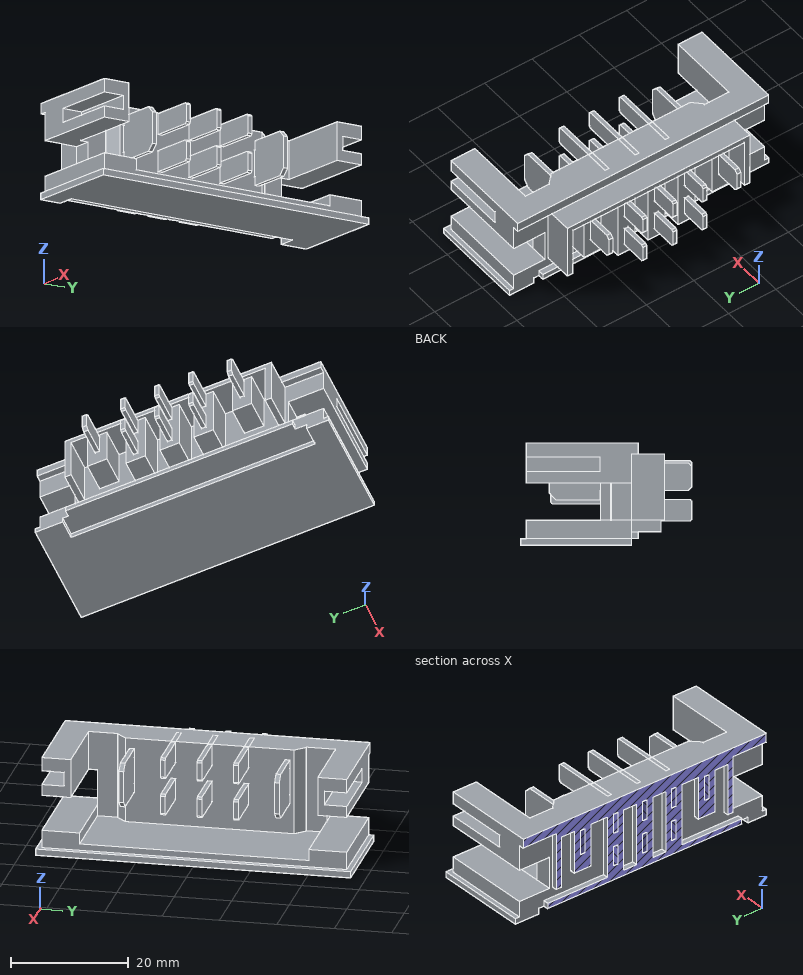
import cadquery as cq


BASE_LENGTH = 54.8
BASE_DEPTH = 18.9
BASE_THICKNESS = 1.15
BASE_NOTCH_Y = (-23.35, 22.25)

FRAME_LENGTH = 53.05
FRAME_DEPTH = 18.0
FRAME_TOP = 17.45
WALL_DEPTH = 3.45
UPPER_ARM_INNER_Y = 21.5
UPPER_ARM_BOTTOM = 10.6
LOWER_ARM_INNER_Y = 19.95
LOWER_ARM_TOP = 4.3
FLOOR_TOP = 2 * BASE_THICKNESS
SLOT_START = 5.4
SLOT_BOTTOM = 12.55
SLOT_TOP = 15.0
SLOT_SKIN = 1.15

RIB_HALF_WIDTH = 16.4
RIB_STEP = 0.15
RIB_TAPER = 1.7

LIP_DEPTH = 1.15
LOWER_LIP_LENGTH = 42.4

SHROUD_DEPTH = 5.6
SHROUD_HALF_WIDTH = 19.3
SHROUD_WALL = 1.15
SHROUD_TOP = 15.55
SUPPORT_DEPTH = 5.0
SUPPORT_WIDTH = 3.6
LARGE_SUPPORT_BOTTOM = 6.0

PIN_THICKNESS = 0.8
PIN_FRONT = -10.25
PIN_OVERLAP = 1.15
SMALL_PITCH = 6.35
SMALL_HEIGHT = 3.7
SMALL_RISE = 2.9
UPPER_BLADE_START = 0.6
LOWER_BLADE_START = UPPER_BLADE_START + 2 * PIN_OVERLAP
SMALL_BLADE_END = 13.8
SMALL_CHAMFER = 0.35
LOWER_TAIL_BOTTOM = 4.1
UPPER_TAIL_BOTTOM = 10.7
LARGE_PIN_Y = 13.55
LARGE_CENTRE_Z = 11.7
LARGE_TAIL_HEIGHT = 4.7
LARGE_TAIL_CHAMFER = 0.6
LARGE_BLADE_HEIGHT = 7.9
LARGE_BLADE_START = 5.4
LARGE_BLADE_END = 14.05
LARGE_BLADE_CHAMFER = 1.15

SMALL_PIN_YS = [-SMALL_PITCH, 0, SMALL_PITCH]
LARGE_PIN_YS = [-LARGE_PIN_Y, LARGE_PIN_Y]


def block(x_range, y_range, z_range):
    """Rectangular block between the given limits on each axis."""
    corner = (x_range[0], y_range[0], z_range[0])
    size = (x_range[1] - x_range[0], y_range[1] - y_range[0], z_range[1] - z_range[0])
    return cq.Workplane("XY").box(*size, centered=False).translate(corner)


def centred(width, y=0):
    """Y limits of a width centred on y."""
    return (y - width / 2, y + width / 2)


def make_base():
    """Base plate, open at the front under the cross wall."""
    plate = block((0, BASE_DEPTH), centred(BASE_LENGTH), (0, BASE_THICKNESS))
    notch = block((0, WALL_DEPTH), BASE_NOTCH_Y, (0, BASE_THICKNESS))
    return plate.cut(notch)


def make_frame():
    """Cross wall with arms, made by opening up a solid block."""
    frame_y = centred(FRAME_LENGTH)
    frame = block((0, FRAME_DEPTH), frame_y, (BASE_THICKNESS, FRAME_TOP))
    frame = frame.cut(
        block((WALL_DEPTH, FRAME_DEPTH), centred(2 * UPPER_ARM_INNER_Y), (LOWER_ARM_TOP, FRAME_TOP))
    )
    frame = frame.cut(
        block((WALL_DEPTH, FRAME_DEPTH), centred(2 * LOWER_ARM_INNER_Y), (FLOOR_TOP, LOWER_ARM_TOP))
    )
    for side_y in [(frame_y[0], -LOWER_ARM_INNER_Y), (LOWER_ARM_INNER_Y, frame_y[1])]:
        frame = frame.cut(block((0, FRAME_DEPTH), side_y, (LOWER_ARM_TOP, UPPER_ARM_BOTTOM)))
    slot_inner_y = UPPER_ARM_INNER_Y + SLOT_SKIN
    for slot_y in [(frame_y[0], -slot_inner_y), (slot_inner_y, frame_y[1])]:
        frame = frame.cut(block((SLOT_START, FRAME_DEPTH), slot_y, (SLOT_BOTTOM, SLOT_TOP)))
    return frame


def make_rib():
    """Full-height rib on the back of the wall, tapered at both ends."""
    taper_start = WALL_DEPTH + RIB_STEP
    rib_back = taper_start + RIB_TAPER
    back_half_width = RIB_HALF_WIDTH - RIB_TAPER
    outline = [
        (WALL_DEPTH, -RIB_HALF_WIDTH),
        (taper_start, -RIB_HALF_WIDTH),
        (rib_back, -back_half_width),
        (rib_back, back_half_width),
        (taper_start, RIB_HALF_WIDTH),
        (WALL_DEPTH, RIB_HALF_WIDTH),
    ]
    rib = cq.Workplane("XY").polyline(outline).close().extrude(FRAME_TOP - FLOOR_TOP)
    return rib.translate((0, 0, FLOOR_TOP))


def make_lips():
    """Lips along the top and the bottom of the wall's front face."""
    upper = block((-LIP_DEPTH, 0), centred(FRAME_LENGTH), (SHROUD_TOP, FRAME_TOP))
    lower = block((-LIP_DEPTH, 0), centred(LOWER_LIP_LENGTH), (BASE_THICKNESS, FLOOR_TOP))
    return upper.union(lower)


def make_shroud():
    """Roof and two side walls around the pin tails."""
    outer = block((-SHROUD_DEPTH, 0), centred(2 * SHROUD_HALF_WIDTH), (LOWER_ARM_TOP, SHROUD_TOP))
    inner_half_width = SHROUD_HALF_WIDTH - SHROUD_WALL
    inner = block(
        (-SHROUD_DEPTH, 0), centred(2 * inner_half_width), (LOWER_ARM_TOP, SHROUD_TOP - SHROUD_WALL)
    )
    return outer.cut(inner)


def make_support(y, bottom):
    """Column under the shroud roof that holds the pins at y."""
    return block((-SUPPORT_DEPTH, 0), centred(SUPPORT_WIDTH, y), (bottom, SHROUD_TOP))


def make_small_pin(y, tail_bottom, blade_start):
    """Pin whose blade is one rise higher than its tail."""
    thickness = centred(PIN_THICKNESS, y)
    tail_z = (tail_bottom, tail_bottom + SMALL_HEIGHT)
    blade_z = (tail_z[0] + SMALL_RISE, tail_z[1] + SMALL_RISE)
    tail = block((PIN_FRONT, blade_start + PIN_OVERLAP), thickness, tail_z)
    blade = block((blade_start, SMALL_BLADE_END), thickness, blade_z)
    tail = tail.faces("<X").edges("|Y").chamfer(SMALL_CHAMFER)
    blade = blade.faces(">X").edges("|Y").chamfer(SMALL_CHAMFER)
    return tail.union(blade)


def make_large_pin(y):
    """Pin with a tall blade, both parts centred on the same height."""
    thickness = centred(PIN_THICKNESS, y)
    tail = block(
        (PIN_FRONT, LARGE_BLADE_START + PIN_OVERLAP), thickness, centred(LARGE_TAIL_HEIGHT, LARGE_CENTRE_Z)
    )
    blade = block(
        (LARGE_BLADE_START, LARGE_BLADE_END), thickness, centred(LARGE_BLADE_HEIGHT, LARGE_CENTRE_Z)
    )
    tail = tail.faces("<X").edges("|Y").chamfer(LARGE_TAIL_CHAMFER)
    blade = blade.faces(">X").edges("|Y").chamfer(LARGE_BLADE_CHAMFER)
    return tail.union(blade)


def make_housing(pins):
    """Insulating housing with a closely fitting passage for every pin."""
    housing = make_base().union(make_frame()).union(make_rib())
    housing = housing.union(make_lips()).union(make_shroud())
    for y in SMALL_PIN_YS:
        housing = housing.union(make_support(y, FLOOR_TOP))
    for y in LARGE_PIN_YS:
        housing = housing.union(make_support(y, LARGE_SUPPORT_BOTTOM))
    for pin in pins:
        housing = housing.cut(pin)
    return housing


lower_pins = [make_small_pin(y, LOWER_TAIL_BOTTOM, LOWER_BLADE_START) for y in SMALL_PIN_YS]
upper_pins = [make_small_pin(y, UPPER_TAIL_BOTTOM, UPPER_BLADE_START) for y in SMALL_PIN_YS]
large_pins = [make_large_pin(y) for y in LARGE_PIN_YS]
pins = lower_pins + upper_pins + large_pins
housing = make_housing(pins)

result = cq.Compound.makeCompound([housing.val(), *[pin.val() for pin in pins]])